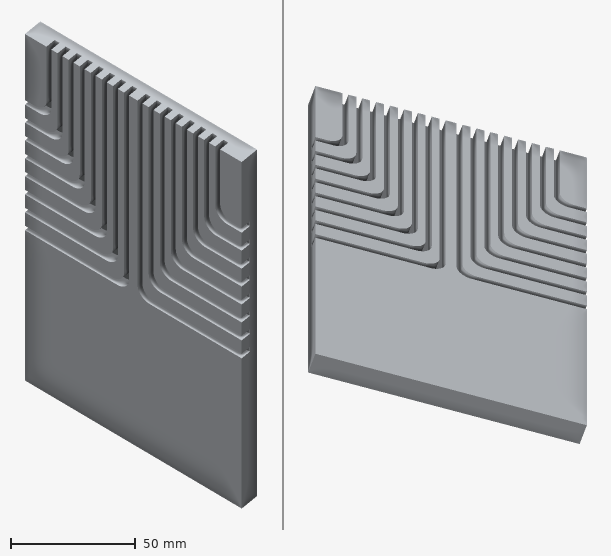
import cadquery as cq

plate_width = 114.3
plate_thickness = 9.53
plate_height = 193.04

grooves_per_side = 8
groove_width = 2.54
groove_depth = 5.08
bend_radius = 6.35
column_pitch = 5.85
row_pitch = 10.0
inner_column_x = 3.556
lowest_row_z = 84.95

front_y = -plate_thickness / 2
side_x = plate_width / 2


def make_plate():
    return cq.Workplane("XY").box(
        plate_width, plate_thickness, plate_height, centered=(True, True, False)
    )


def make_corner_block(inner_x, bottom_z):
    """Block reaching the top and right edges, rounded at its lower inner corner."""
    block_width = side_x - inner_x
    block_height = plate_height - bottom_z
    return (
        cq.Workplane("XY")
        .box(block_width, groove_depth, block_height, centered=False)
        .edges("|Y and <X and <Z")
        .fillet(bend_radius)
        .translate((inner_x, front_y, bottom_z))
    )


def make_groove(column_x, row_z):
    """Right-hand groove: the strip left between two shifted corner blocks."""
    half_width = groove_width / 2
    outer_wall = make_corner_block(column_x - half_width, row_z - half_width)
    inner_wall = make_corner_block(column_x + half_width, row_z + half_width)
    return outer_wall.cut(inner_wall)


def cut_grooves(plate):
    for index in range(grooves_per_side):
        column_x = inner_column_x + index * column_pitch
        row_z = lowest_row_z + index * row_pitch
        groove = make_groove(column_x, row_z)
        plate = plate.cut(groove).cut(groove.mirror("YZ"))
    return plate


result = cut_grooves(make_plate())